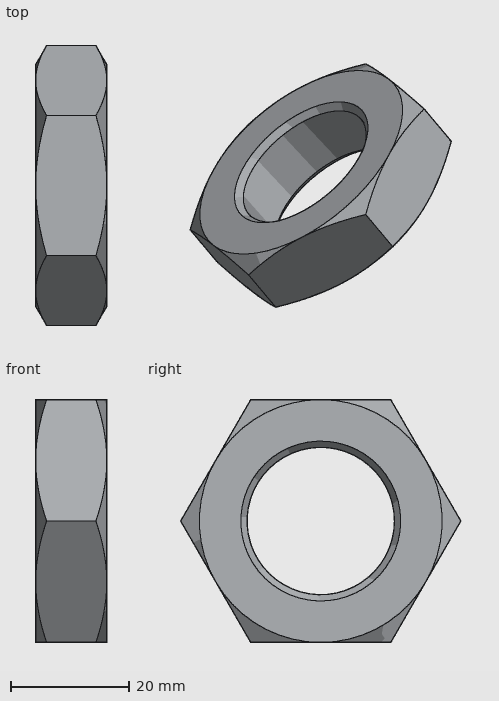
import cadquery as cq
import math

thickness = 12.0
across_flats = 41.0
bore_diameter = 24.84
bore_mouth_diameter = 27.0
bore_chamfer_angle = 45.0
corner_chamfer_angle = 30.0
face_circle_diameter = 41.0

across_corners = across_flats / math.cos(math.radians(30.0))
half_thickness = thickness / 2.0
corner_radius = across_corners / 2.0
face_circle_radius = face_circle_diameter / 2.0
bore_radius = bore_diameter / 2.0
bore_mouth_radius = bore_mouth_diameter / 2.0
corner_chamfer_depth = (corner_radius - face_circle_radius) * math.tan(math.radians(corner_chamfer_angle))
bore_chamfer_depth = (bore_mouth_radius - bore_radius) * math.tan(math.radians(bore_chamfer_angle))


def hexagonal_prism():
    """Hexagon with corners on the Y axis, extruded evenly about the YZ plane."""
    return cq.Workplane("YZ").polygon(6, across_corners).extrude(half_thickness, both=True)


def revolve_about_x(profile):
    """Solid of revolution about X from (x, radius) points."""
    return cq.Workplane("XY").polyline(profile).close().revolve(360.0, (0, 0, 0), (1, 0, 0))


def turned_envelope():
    """Round blank whose conical ends cut the hexagon corners."""
    shoulder = half_thickness - corner_chamfer_depth
    return revolve_about_x([
        (-half_thickness, 0.0),
        (-half_thickness, face_circle_radius),
        (-shoulder, corner_radius),
        (shoulder, corner_radius),
        (half_thickness, face_circle_radius),
        (half_thickness, 0.0),
    ])


def chamfered_bore():
    """Through bore, countersunk at both ends."""
    countersink_start = half_thickness - bore_chamfer_depth
    return revolve_about_x([
        (-half_thickness, 0.0),
        (-half_thickness, bore_mouth_radius),
        (-countersink_start, bore_radius),
        (countersink_start, bore_radius),
        (half_thickness, bore_mouth_radius),
        (half_thickness, 0.0),
    ])


result = hexagonal_prism().intersect(turned_envelope()).cut(chamfered_bore())